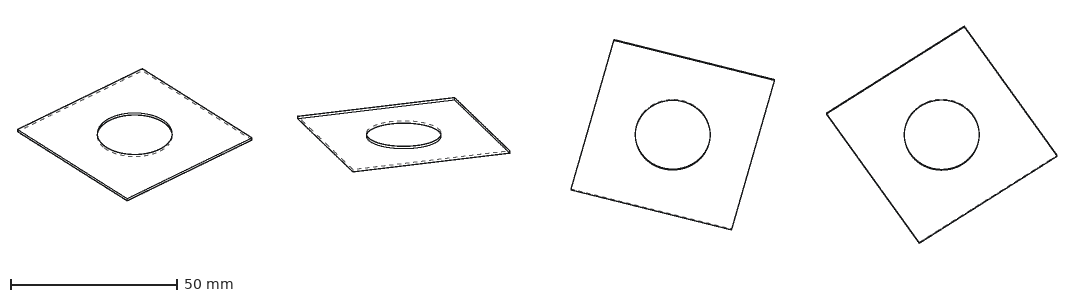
import cadquery as cq

side = 50.0
thickness = 0.8
hole_diameter = 22.5

result = (
    cq.Workplane("XY")
    .rect(side, side)
    .circle(hole_diameter / 2)
    .extrude(thickness)
)